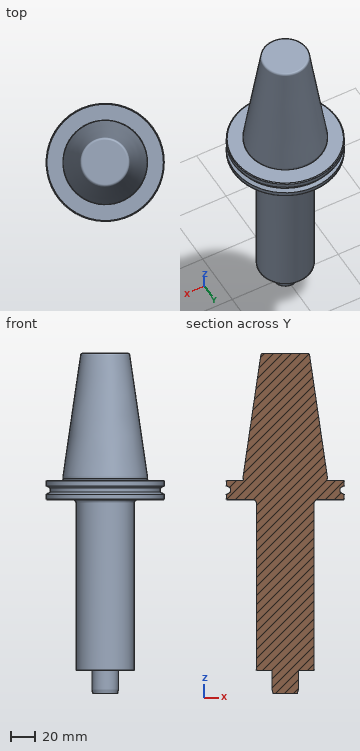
import cadquery as cq
import math


gauge_diameter = 69.85
taper_length = 101.75
taper_ratio = 7 / 24
top_fillet = 2.0

land_length = 1.7
relief_depth = 0.3
neck_fillet = 0.8

flange_diameter = 97.45
flange_top = -3.0
flange_bottom = -19.1
flange_chamfer = 0.8
groove_center = -11.1
groove_floor_diameter = 91.0
groove_mouth_width = 7.0
groove_angle = 60.0

body_diameter = 48.0
body_bottom = -160.0
body_fillet = 3.0
body_chamfer = 0.6

overall_length = 280.6
pin_diameter = 22.0
pin_chamfer_height = 3.0
pin_chamfer_width = 0.8

gauge_radius = gauge_diameter / 2
top_radius = gauge_radius - taper_length * taper_ratio / 2
relief_radius = gauge_radius - relief_depth
flange_radius = flange_diameter / 2
groove_floor_radius = groove_floor_diameter / 2
groove_depth = flange_radius - groove_floor_radius
mouth_half = groove_mouth_width / 2
floor_half = mouth_half - groove_depth * math.tan(math.radians(groove_angle / 2))
body_radius = body_diameter / 2
pin_radius = pin_diameter / 2
pin_bottom = taper_length - overall_length

taper_half_angle = math.atan(taper_ratio / 2)
fillet_turn = math.pi / 2 - taper_half_angle
top_face_radius = top_radius - top_fillet * math.tan(fillet_turn / 2)
fillet_end_radius = top_face_radius + top_fillet * math.sin(fillet_turn)
fillet_end_height = taper_length - top_fillet * (1 - math.cos(fillet_turn))


def draw_shank(profile):
    """Top face, rounded top edge, taper and the relieved neck filleted into the flange."""
    return (
        profile.lineTo(top_face_radius, taper_length)
        .radiusArc((fillet_end_radius, fillet_end_height), top_fillet)
        .lineTo(gauge_radius, 0)
        .lineTo(gauge_radius, -land_length)
        .lineTo(relief_radius, -land_length - relief_depth)
        .lineTo(relief_radius, flange_top + neck_fillet)
        .radiusArc((relief_radius + neck_fillet, flange_top), -neck_fillet)
    )


def draw_flange(profile):
    """Chamfered flange rim with the V-groove."""
    return (
        profile.lineTo(flange_radius - flange_chamfer, flange_top)
        .lineTo(flange_radius, flange_top - flange_chamfer)
        .lineTo(flange_radius, groove_center + mouth_half)
        .lineTo(groove_floor_radius, groove_center + floor_half)
        .lineTo(groove_floor_radius, groove_center - floor_half)
        .lineTo(flange_radius, groove_center - mouth_half)
        .lineTo(flange_radius, flange_bottom + flange_chamfer)
        .lineTo(flange_radius - flange_chamfer, flange_bottom)
    )


def draw_body(profile):
    """Cylinder joined to the flange by a fillet, with a chamfered lower edge."""
    return (
        profile.lineTo(body_radius + body_fillet, flange_bottom)
        .radiusArc((body_radius, flange_bottom - body_fillet), -body_fillet)
        .lineTo(body_radius, body_bottom + body_chamfer)
        .lineTo(body_radius - body_chamfer, body_bottom)
    )


def draw_pin(profile):
    """Pilot pin with a tapered lead-in at its tip."""
    return (
        profile.lineTo(pin_radius, body_bottom)
        .lineTo(pin_radius, pin_bottom + pin_chamfer_height)
        .lineTo(pin_radius - pin_chamfer_width, pin_bottom)
        .lineTo(0, pin_bottom)
    )


half_profile = cq.Workplane("XZ").moveTo(0, taper_length)
for draw_section in (draw_shank, draw_flange, draw_body, draw_pin):
    half_profile = draw_section(half_profile)

result = half_profile.close().revolve(360, (0, 0, 0), (0, 1, 0))